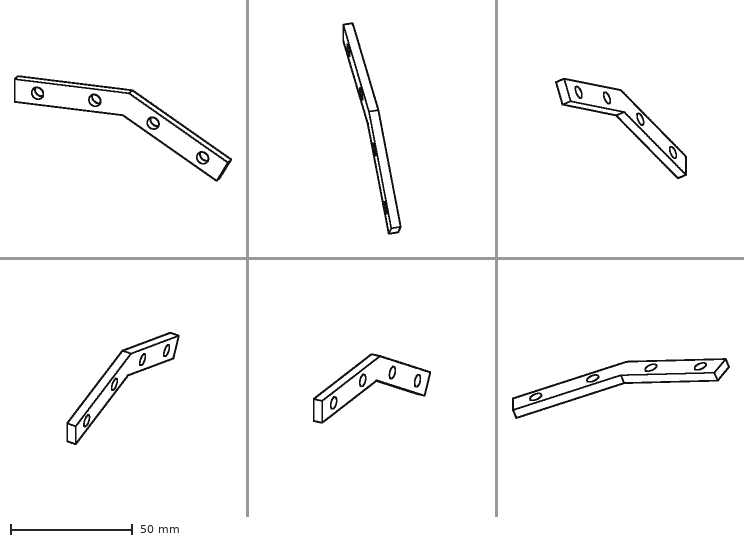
import cadquery as cq
import math

overall_length = 93.3
bar_width = 10.0
thickness = 4.0
bend_angle = 30.0
hole_diameter = 5.0
end_to_hole = 10.0
hole_spacing = 25.0

bend = math.radians(bend_angle)
arm_length = overall_length / (1 + math.cos(bend))
inner_setback = bar_width * math.tan(bend / 2)


def make_arm():
    """Level arm with its upper edge ending at the origin, mitred there and drilled twice."""
    outline = [
        (-arm_length, 0),
        (0, 0),
        (-inner_setback, -bar_width),
        (-arm_length, -bar_width),
    ]
    first_hole_x = -arm_length + end_to_hole
    hole_centers = [
        (first_hole_x, -bar_width / 2),
        (first_hole_x + hole_spacing, -bar_width / 2),
    ]
    back_face = cq.Workplane("XZ", origin=(0, thickness / 2, 0))
    blank = back_face.polyline(outline).close().extrude(thickness)
    holes = back_face.pushPoints(hole_centers).circle(hole_diameter / 2).extrude(thickness)
    return blank.cut(holes)


level_arm = make_arm()
sloping_arm = make_arm().mirror("YZ").rotate((0, 0, 0), (0, 1, 0), bend_angle)

result = level_arm.union(sloping_arm)